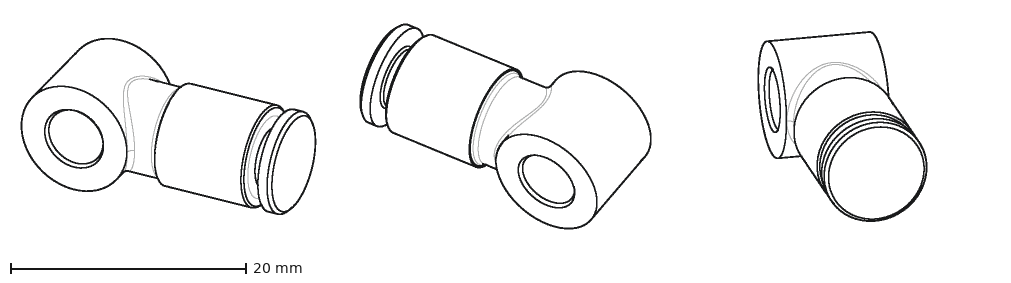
import cadquery as cq
import math

RING_RADIUS = 5.0
RING_WIDTH = 9.0
BORE_RADIUS = 2.57
BORE_CHAMFER = 0.21
BORE_CHAMFER_LENGTH = 0.35

TOTAL_LENGTH = 23.6
NECK_RADIUS = 4.01
BODY_RADIUS = RING_WIDTH / 2
BODY_START = 7.62
BODY_END = 16.0
NECK_FILLET = 0.57
NECK_FLARE_LENGTH = 0.57
FRONT_CHAMFER = 0.2
MOUTH_RADIUS = 3.6
MOUTH_LENGTH = 0.21
RING_BLEND = 0.47
SELECTION_MARGIN = 0.02

COLLAR_RADIUS = 2.62
FLANGE_RADIUS = BODY_RADIUS
FLANGE_START = 17.42
FLANGE_END = TOTAL_LENGTH - RING_RADIUS
FLANGE_CHAMFER = 0.3
COLLAR_CHAMFER = 0.21


def make_ring():
    return cq.Workplane("XZ").circle(RING_RADIUS).extrude(RING_WIDTH / 2, both=True)


def make_neck():
    return cq.Workplane("YZ").circle(NECK_RADIUS).extrude(BODY_START)


def join_ring_and_neck():
    """Ring and neck with a concave blend along the curve where they meet."""
    seam_reach = NECK_RADIUS + SELECTION_MARGIN
    joined = make_ring().union(make_neck())
    seam = joined.edges(
        cq.selectors.BoxSelector(
            (0, -seam_reach, -seam_reach),
            (BODY_START - SELECTION_MARGIN, seam_reach, seam_reach),
            boundingbox=True,
        )
    )
    return seam.fillet(RING_BLEND)


def make_socket():
    """Body and release collar, revolved from a half outline."""
    flare_start = BODY_START - NECK_FLARE_LENGTH
    fillet_end = flare_start + NECK_FILLET * math.sin(math.pi / 4)
    fillet_top = NECK_RADIUS + NECK_FILLET * (1 - math.cos(math.pi / 4))
    flare_top = fillet_top + BODY_START - fillet_end
    outline = (
        cq.Workplane("XY")
        .moveTo(flare_start, 0)
        .lineTo(flare_start, NECK_RADIUS)
        .radiusArc((fillet_end, fillet_top), -NECK_FILLET)
        .lineTo(BODY_START, flare_top)
        .lineTo(BODY_START, BODY_RADIUS)
        .lineTo(BODY_END - FRONT_CHAMFER, BODY_RADIUS)
        .lineTo(BODY_END, BODY_RADIUS - FRONT_CHAMFER)
        .lineTo(BODY_END, MOUTH_RADIUS)
        .lineTo(BODY_END + MOUTH_LENGTH, COLLAR_RADIUS)
        .lineTo(FLANGE_START - COLLAR_CHAMFER, COLLAR_RADIUS)
        .lineTo(FLANGE_START, COLLAR_RADIUS + COLLAR_CHAMFER)
        .lineTo(FLANGE_START, FLANGE_RADIUS)
        .lineTo(FLANGE_END - FLANGE_CHAMFER, FLANGE_RADIUS)
        .lineTo(FLANGE_END, FLANGE_RADIUS - FLANGE_CHAMFER)
        .lineTo(FLANGE_END, 0)
        .close()
    )
    return outline.revolve(360, (0, 0, 0), (1, 0, 0))


def make_bore():
    """Through hole of the ring, chamfered at both mouths."""
    half_width = RING_WIDTH / 2
    wide_radius = BORE_RADIUS + BORE_CHAMFER
    outline = (
        cq.Workplane("XY")
        .moveTo(0, -half_width)
        .lineTo(wide_radius, -half_width)
        .lineTo(BORE_RADIUS, -half_width + BORE_CHAMFER_LENGTH)
        .lineTo(BORE_RADIUS, half_width - BORE_CHAMFER_LENGTH)
        .lineTo(wide_radius, half_width)
        .lineTo(0, half_width)
        .close()
    )
    return outline.revolve(360, (0, 0, 0), (0, 1, 0))


result = join_ring_and_neck().union(make_socket()).cut(make_bore())